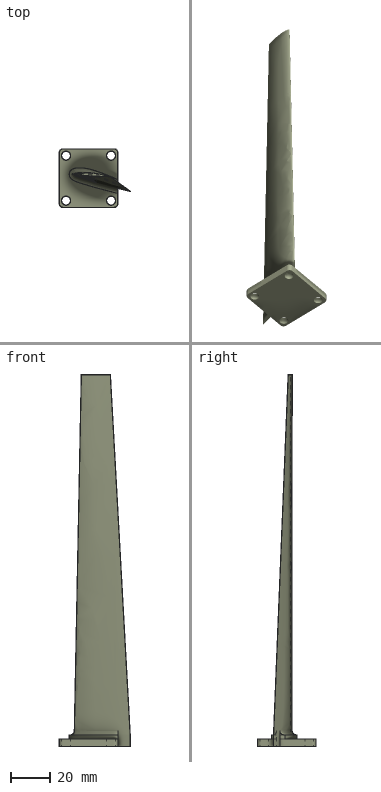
import cadquery as cq
import math

plate_size = 30.0
plate_thickness = 4.0
plate_corner_radius = 2.0
hole_diameter = 4.5
hole_spacing = 23.0

camber = 0.025
camber_position = 0.3
thickness_ratio = 0.11
thickness_terms = (0.2969, -0.1260, -0.3516, 0.2843, -0.1015)
thickness_scale = 5

blade_height = 190.0
leading_edge_y = 2.0
root_chord = 30.0
root_trailing_x = 21.33
root_angle = 17.0
tip_chord = 15.0
tip_leading_x = -3.75
tip_angle = 5.0

pad_top = 6.0
pad_margin = 2.5
root_fillet = 2.0

points_per_side = 14
sweep_step = 1e-4
tolerance = 0.01

root_leading_x = root_trailing_x - root_chord * math.cos(math.radians(root_angle))


def section_point(sweep):
    """Point of the unit-chord section.

    The sweep runs from 0 at the leading edge to +pi/2 (upper surface) or -pi/2 (lower surface)
    at the trailing edge.
    """
    x = 1 - math.cos(sweep)
    root_x = math.sqrt(x)
    thickness_powers = (root_x, x, x**2, x**3, x**4)
    profile = sum(term * power for term, power in zip(thickness_terms, thickness_powers))
    half_thickness = thickness_scale * thickness_ratio * profile
    offset = math.copysign(half_thickness, sweep)
    flank = camber_position if x < camber_position else 1 - camber_position
    camber_y = camber * (1 - ((x - camber_position) / flank) ** 2)
    slope = math.atan(2 * camber * (camber_position - x) / flank**2)
    return x - offset * math.sin(slope), camber_y + offset * math.cos(slope)


def surface_edge(side, chord, angle, leading_x, z, margin):
    """Curve along one surface (side +1 upper, -1 lower), moved outward by the margin."""
    points = []
    for i in range(points_per_side + 1):
        sweep = side * math.pi / 2 * i / points_per_side
        x, y = section_point(sweep)
        before_x, before_y = section_point(sweep - sweep_step)
        after_x, after_y = section_point(sweep + sweep_step)
        run = after_x - before_x
        rise = after_y - before_y
        length = math.hypot(run, rise)
        points.append((chord * x - margin * rise / length, chord * y + margin * run / length))
    turn = math.radians(-angle)
    placed = [
        cq.Vector(
            leading_x + x * math.cos(turn) - y * math.sin(turn),
            leading_edge_y + x * math.sin(turn) + y * math.cos(turn),
            z,
        )
        for x, y in points
    ]
    return cq.Edge.makeSpline(placed)


def section_wire(chord, angle, leading_x, z, margin=0.0):
    upper = surface_edge(1, chord, angle, leading_x, z, margin)
    lower = surface_edge(-1, chord, angle, leading_x, z, margin)
    trailing = cq.Edge.makeLine(upper.endPoint(), lower.endPoint())
    return cq.Wire.assembleEdges([upper, trailing, lower])


def root_wire(z, margin=0.0):
    return section_wire(root_chord, root_angle, root_leading_x, z, margin)


def make_plate():
    return (
        cq.Workplane("XY")
        .box(plate_size, plate_size, plate_thickness, centered=(True, True, False))
        .edges("|Z")
        .fillet(plate_corner_radius)
        .faces(">Z")
        .workplane()
        .rect(hole_spacing, hole_spacing, forConstruction=True)
        .vertices()
        .hole(hole_diameter)
    )


def make_foot(margin=0.0):
    """Straight prism of the root section, grown by the margin, up to the top of the pad."""
    return cq.Workplane(cq.Solid.extrudeLinear(root_wire(0, margin), [], cq.Vector(0, 0, pad_top)))


def make_aerofoil():
    tip = section_wire(tip_chord, tip_angle, tip_leading_x, blade_height)
    return cq.Workplane(cq.Solid.makeLoft([root_wire(pad_top), tip], True))


def make_pad():
    """Grown foot, ending flush with the plate edge on the trailing side."""
    plate_prism = cq.Workplane("XY").box(plate_size, plate_size, pad_top, centered=(True, True, False))
    return make_foot(pad_margin).intersect(plate_prism)


def is_blade_seam(edge):
    """Whether the edge runs where the blade meets the pad top, starting at the leading edge."""
    bounds = edge.BoundingBox()
    on_pad_top = bounds.zmin > pad_top - tolerance and bounds.zmax < pad_top + tolerance
    from_leading_edge = abs(bounds.xmin - root_leading_x) < pad_margin / 2
    return on_pad_top and from_leading_edge


body = make_plate().union(make_foot()).union(make_pad()).union(make_aerofoil())
result = body.edges().filter(is_blade_seam).fillet(root_fillet)